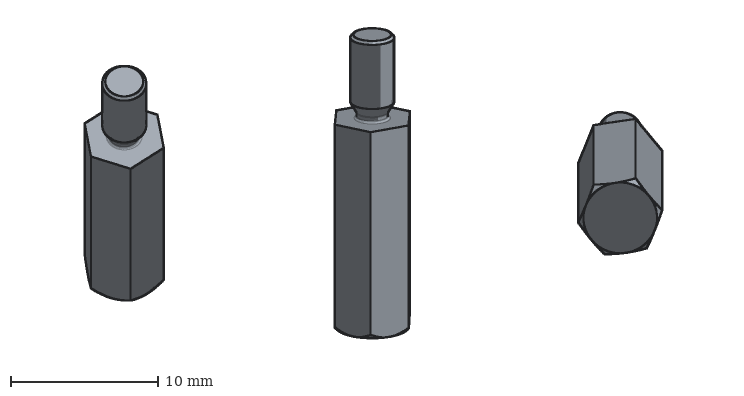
import cadquery as cq
import math

total_height = 21.0
body_height = 15.0

across_flats = 5.0
across_corners = across_flats / math.cos(math.radians(30))

stud_radius = 3.0 / 2
stud_chamfer = 0.2
groove_radius = 2.15 / 2
foot_radius = 2.45 / 2
groove_fillet = foot_radius - groove_radius
relief_height = 1.18
runout_angle = math.radians(30)


def make_body():
    """Hexagonal prism whose bottom corners are turned off by a 45 degree cone."""
    prism = cq.Workplane("XY").polygon(6, across_corners).extrude(body_height)
    flat_radius = across_flats / 2
    turned_blank = (
        cq.Workplane("XZ")
        .lineTo(flat_radius, 0)
        .lineTo(flat_radius + body_height, body_height)
        .lineTo(0, body_height)
        .close()
        .revolve(360, (0, 0), (0, 1))
    )
    return prism.intersect(turned_blank)


def make_stud():
    """Revolved stud: filleted foot, groove, runout cone, shank and end chamfer."""
    cone_top = body_height + relief_height
    cone_bottom = cone_top - (stud_radius - groove_radius) / math.tan(runout_angle)

    blend_length = groove_fillet * math.tan(runout_angle / 2)
    blend_start = (groove_radius, cone_bottom - blend_length)
    blend_middle = (
        groove_radius + groove_fillet * (1 - math.cos(runout_angle / 2)),
        blend_start[1] + groove_fillet * math.sin(runout_angle / 2),
    )
    blend_end = (
        groove_radius + blend_length * math.sin(runout_angle),
        cone_bottom + blend_length * math.cos(runout_angle),
    )

    foot_middle = (
        foot_radius - groove_fillet * math.sqrt(0.5),
        body_height + groove_fillet * (1 - math.sqrt(0.5)),
    )
    foot_top = (groove_radius, body_height + groove_fillet)

    return (
        cq.Workplane("XZ")
        .moveTo(0, body_height)
        .lineTo(foot_radius, body_height)
        .threePointArc(foot_middle, foot_top)
        .lineTo(*blend_start)
        .threePointArc(blend_middle, blend_end)
        .lineTo(stud_radius, cone_top)
        .lineTo(stud_radius, total_height - stud_chamfer)
        .lineTo(stud_radius - stud_chamfer, total_height)
        .lineTo(0, total_height)
        .close()
        .revolve(360, (0, 0), (0, 1))
    )


result = make_body().union(make_stud())